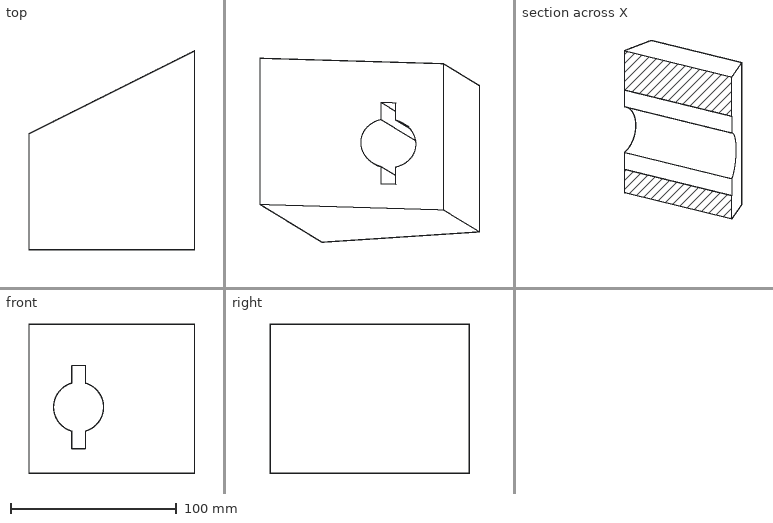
import cadquery as cq

width = 100.0
long_side = 120.0
short_side = 70.0
height = 90.0

hole_x = 30.0
hole_z = 40.0
hole_diameter = 30.0
slot_width = 8.0
slot_height = 50.0


def make_block():
    """Block with a vertical back face slanted across its width."""
    return (
        cq.Workplane("XY")
        .polyline([(0, 0), (width, 0), (width, long_side), (0, short_side)])
        .close()
        .extrude(height)
    )


def make_keyed_hole():
    """Round bore with opposite keyways above and below, running the full depth."""
    center = cq.Workplane("XZ").center(hole_x, hole_z)
    bore = center.circle(hole_diameter / 2).extrude(-long_side)
    keyways = center.rect(slot_width, slot_height).extrude(-long_side)
    return bore.union(keyways)


result = make_block().cut(make_keyed_hole())